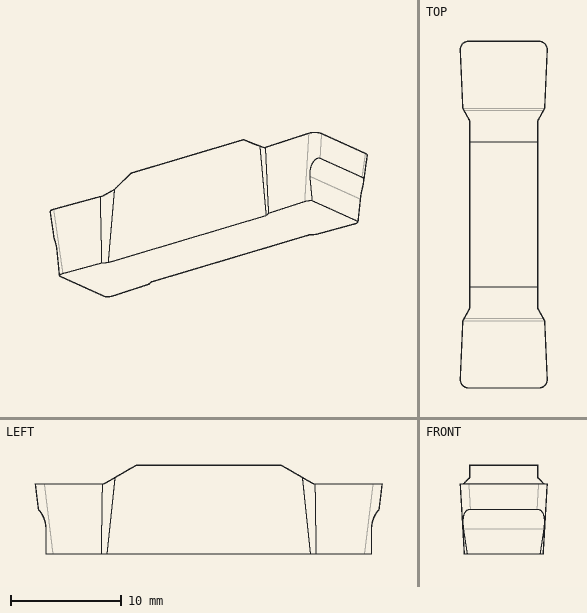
import cadquery as cq
import math


length = 31.52
head_width = 7.92
height = 8.08

head_height = 6.37
head_depth = 6.1
corner_radius = 0.8
front_relief = math.radians(7)
side_relief = math.radians(3)
side_taper = math.radians(2.5)

body_width = 6.2
neck_angle = math.radians(30)

ramp_angle = math.radians(30)
ramp_start = 6.22
ramp_fillet = 0.4

hollow_setback = 0.97
hollow_base = 2.28
hollow_radius = 2.66

half_length = length / 2
half_body = body_width / 2
margin = 1.0


def side_normal_offset(angle, x, y):
    """Distance from the origin to a line through (x, y) whose normal lies at -angle from +X."""
    return x * math.cos(angle) - y * math.sin(angle)


def cross_lines(side_offset, neck_offset):
    """Meeting point of the side line and the neck line."""
    spread = math.sin(neck_angle - side_taper)
    x = (side_offset * math.sin(neck_angle) - neck_offset * math.sin(side_taper)) / spread
    y = (side_offset * math.cos(neck_angle) - neck_offset * math.cos(side_taper)) / spread
    return x, y


edge_corner_x = head_width / 2 - corner_radius
edge_corner_y = half_length - corner_radius
side_line = side_normal_offset(side_taper, edge_corner_x, edge_corner_y) + corner_radius
neck_y = half_length - head_depth
neck_x = (side_line + neck_y * math.sin(side_taper)) / math.cos(side_taper)
neck_line = side_normal_offset(neck_angle, neck_x, neck_y)


def head_outline(z):
    """Closed plan outline of the +Y head at height z, inset by the draft of each flank."""
    drop = head_height - z
    side_inset = drop * math.tan(side_relief)
    front_y = half_length - drop * math.tan(front_relief)
    side = side_line - side_inset
    neck = neck_line - side_inset

    center_y = front_y - corner_radius
    center_x = (side - corner_radius + center_y * math.sin(side_taper)) / math.cos(side_taper)

    def corner_point(angle):
        return (center_x + corner_radius * math.cos(angle), center_y + corner_radius * math.sin(angle))

    arc_start = corner_point(-side_taper)
    arc_middle = corner_point((math.pi / 2 - side_taper) / 2)
    arc_end = corner_point(math.pi / 2)
    shoulder = cross_lines(side, neck)
    root = (half_body, (half_body * math.cos(neck_angle) - neck) / math.sin(neck_angle))

    def mirrored(point):
        return (-point[0], point[1])

    return (
        cq.Workplane("XY", origin=(0, 0, z))
        .moveTo(*root)
        .lineTo(*shoulder)
        .lineTo(*arc_start)
        .threePointArc(arc_middle, arc_end)
        .lineTo(*mirrored(arc_end))
        .threePointArc(mirrored(arc_middle), mirrored(arc_start))
        .lineTo(*mirrored(shoulder))
        .lineTo(*mirrored(root))
        .close()
        .wire()
        .val()
    )


def make_head():
    """Drafted +Y head and neck, running the full height before the top is trimmed."""
    return cq.Workplane(cq.Solid.makeLoft([head_outline(0), head_outline(height)], True))


def make_body():
    """Straight central bar whose ends are buried inside the two heads."""
    return cq.Workplane("XY").box(body_width, 2 * neck_y, height, centered=(True, True, False))


def make_top_trim():
    """Material above the +Y head: flat head top, filleted foot and ramp up to the body."""
    foot_y = half_length - ramp_start
    tangent = ramp_fillet * math.tan(ramp_angle / 2)
    center = (foot_y + tangent, head_height + ramp_fillet)

    def fillet_point(angle):
        return (center[0] - ramp_fillet * math.sin(angle), center[1] - ramp_fillet * math.cos(angle))

    trim_top = height + margin
    ramp_end_y = foot_y - (trim_top - head_height) / math.tan(ramp_angle)
    return (
        cq.Workplane("YZ")
        .moveTo(half_length + margin, head_height)
        .lineTo(*fillet_point(0))
        .threePointArc(fillet_point(ramp_angle / 2), fillet_point(ramp_angle))
        .lineTo(ramp_end_y, trim_top)
        .lineTo(half_length + margin, trim_top)
        .close()
        .extrude(head_width / 2 + margin, both=True)
    )


def make_hollow():
    """Cutter for the hollow below the +Y cutting edge: upright wall, then a quarter arc."""
    wall_y = half_length - hollow_setback
    center_y = wall_y + hollow_radius
    arc_reach = hollow_radius * math.sqrt(0.5)
    return (
        cq.Workplane("YZ")
        .moveTo(wall_y, -margin)
        .lineTo(wall_y, hollow_base)
        .threePointArc(
            (center_y - arc_reach, hollow_base + arc_reach),
            (center_y, hollow_base + hollow_radius),
        )
        .lineTo(center_y, -margin)
        .close()
        .extrude(head_width / 2 + margin, both=True)
    )


def on_both_ends(feature):
    """The +Y feature together with its mirror image at the -Y end."""
    return [feature, feature.mirror("XZ")]


result = make_body()
for head in on_both_ends(make_head()):
    result = result.union(head)
for cutter in on_both_ends(make_top_trim()) + on_both_ends(make_hollow()):
    result = result.cut(cutter)